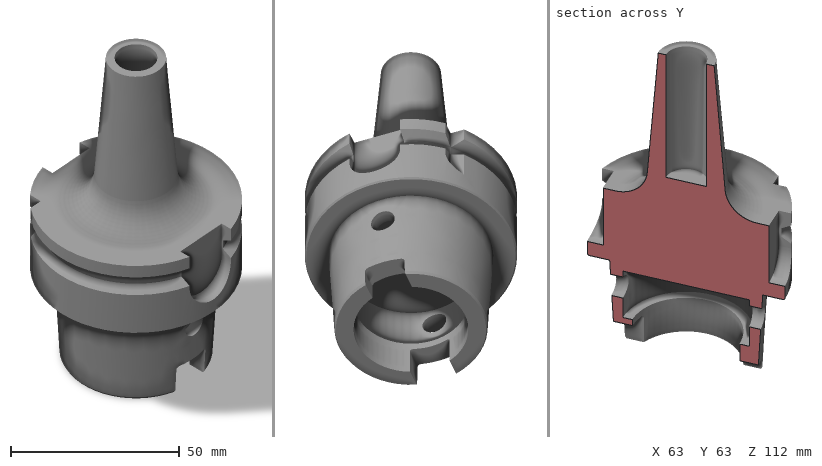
import cadquery as cq
import math

total_height = 112.0

shank_tip_radius = 22.7
shank_root_radius = 24.4
shank_chamfer_height = 0.8
shank_chamfer_width = 0.5
shank_mouth_radius = 17.0
shank_mouth_depth = 12.3
shank_bore_radius = 20.0
shank_bore_depth = 29.1
cross_hole_diameter = 7.5
cross_hole_z = 23.2

drive_slot_width = 12.5
drive_slot_corner = 1.1
left_drive_slot_depth = 6.0
right_drive_slot_depth = 10.0

flange_radius = 31.5
flange_bottom = 32.0
flange_top = 58.0
flange_edge_chamfer = 0.5
groove_root_radius = 28.3
groove_lower_edge = 46.9
groove_ledge_radius = 28.9
groove_ledge_z = 48.4
groove_root_bottom = 48.7
groove_root_top = 51.7
groove_upper_edge = 53.6

keyway_seat_x = 26.4
keyway_bottom = 37.2
left_keyway_width = 16.0
right_keyway_width = 17.9
notch_seat_x = 19.9
notch_wall_y = -20.0

neck_tip_radius = 9.0
neck_blend_radius = 10.1
neck_blend_outer_radius = 22.5
tool_bore_diameter = 12.7
tool_bore_depth = 44.8


def make_body():
    """Revolve the outside of the shank, flange and neck."""
    blend_center_z = flange_top + neck_blend_radius
    tip_dx = neck_blend_outer_radius - neck_tip_radius
    tip_dz = total_height - blend_center_z
    slope = math.asin(neck_blend_radius / math.hypot(tip_dx, tip_dz))
    neck_angle = math.atan2(tip_dx, tip_dz) - slope

    def blend_point(angle):
        return (
            neck_blend_outer_radius - neck_blend_radius * math.cos(angle),
            blend_center_z - neck_blend_radius * math.sin(angle),
        )

    blend_middle = blend_point((neck_angle + math.pi / 2) / 2)
    blend_end = blend_point(neck_angle)
    return (
        cq.Workplane("XZ")
        .moveTo(0, 0)
        .lineTo(shank_tip_radius - shank_chamfer_width, 0)
        .lineTo(shank_tip_radius, shank_chamfer_height)
        .lineTo(shank_root_radius, flange_bottom)
        .lineTo(flange_radius - flange_edge_chamfer, flange_bottom)
        .lineTo(flange_radius, flange_bottom + flange_edge_chamfer)
        .lineTo(flange_radius, groove_lower_edge)
        .lineTo(groove_ledge_radius, groove_ledge_z)
        .lineTo(groove_root_radius, groove_root_bottom)
        .lineTo(groove_root_radius, groove_root_top)
        .lineTo(flange_radius, groove_upper_edge)
        .lineTo(flange_radius, flange_top)
        .lineTo(neck_blend_outer_radius, flange_top)
        .threePointArc(blend_middle, blend_end)
        .lineTo(neck_tip_radius, total_height)
        .lineTo(0, total_height)
        .close()
        .revolve(360, (0, 0, 0), (0, 1, 0))
    )


def bore_cutter(radius, bottom, top):
    """Cylinder on the Z axis between two heights."""
    return cq.Workplane("XY", origin=(0, 0, bottom)).circle(radius).extrude(top - bottom)


def keyway_cutter(side, seat_x, center_y, width):
    """Round-bottomed slot, open at the flange top and outward on one side (-1 or +1) of X."""
    radius = width / 2
    center_z = keyway_bottom + radius
    return (
        cq.Workplane("YZ", origin=(side * seat_x, 0, 0))
        .moveTo(center_y - radius, flange_top)
        .lineTo(center_y - radius, center_z)
        .threePointArc((center_y, keyway_bottom), (center_y + radius, center_z))
        .lineTo(center_y + radius, flange_top)
        .close()
        .extrude(side * flange_radius)
    )


def drive_slot_cutter(side, depth):
    """Slot through one wall of the shank with rounded inner corners."""
    return (
        cq.Workplane("XY")
        .box(flange_radius, drive_slot_width, depth, centered=(True, True, False))
        .translate((side * flange_radius / 2, 0, 0))
        .edges("|X and >Z")
        .fillet(drive_slot_corner)
    )


result = make_body()

result = result.cut(bore_cutter(shank_mouth_radius, 0, shank_mouth_depth))
result = result.cut(bore_cutter(shank_bore_radius, shank_mouth_depth, shank_bore_depth))

result = result.cut(bore_cutter(tool_bore_diameter / 2, total_height - tool_bore_depth, total_height))

result = result.cut(
    cq.Workplane("YZ")
    .center(0, cross_hole_z)
    .circle(cross_hole_diameter / 2)
    .extrude(flange_radius, both=True)
)

notch_center_y = notch_wall_y - left_keyway_width / 2
result = result.cut(keyway_cutter(-1, keyway_seat_x, 0, left_keyway_width))
result = result.cut(keyway_cutter(1, keyway_seat_x, 0, right_keyway_width))
result = result.cut(keyway_cutter(-1, notch_seat_x, notch_center_y, left_keyway_width))

result = result.cut(drive_slot_cutter(-1, left_drive_slot_depth))
result = result.cut(drive_slot_cutter(1, right_drive_slot_depth))